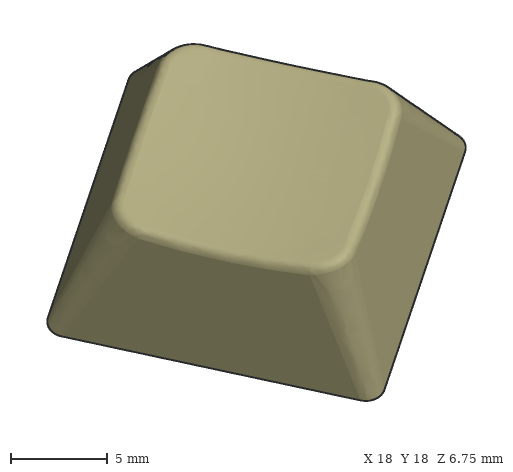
import cadquery as cq

base_width = 18.0
base_corner_radius = 1.0
crown_width = 12.45
crown_corner_radius = 2.0
crown_height = 7.0

dish_radius = 41.76
dish_floor_height = 6.03

rim_fillet_radius = 0.6


def rounded_square(width, corner_radius):
    return cq.Sketch().rect(width, width).vertices().fillet(corner_radius)


def tapered_body():
    base = rounded_square(base_width, base_corner_radius)
    crown = rounded_square(crown_width, crown_corner_radius).moved(
        cq.Location(cq.Vector(0, 0, crown_height))
    )
    return cq.Workplane("XY").placeSketch(base, crown).loft(ruled=True)


def dish_cutter():
    sphere_centre_height = dish_floor_height + dish_radius
    return cq.Workplane("XY").sphere(dish_radius).translate((0, 0, sphere_centre_height))


keycap = tapered_body().cut(dish_cutter())

result = keycap.faces("%SPHERE").edges().fillet(rim_fillet_radius)